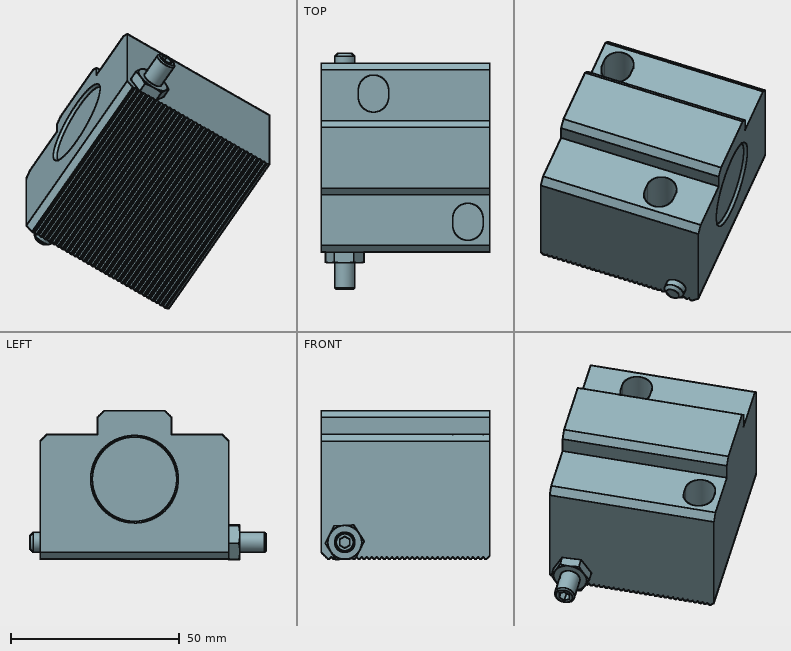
import cadquery as cq
import math

length = 50.0
width = 56.0
height = 44.0
key_width = 22.0
key_height = 7.0
edge_chamfer = 2.0
shoulder_z = height - key_height

tooth_pitch = 1.5
tooth_depth = 0.65
groove_half_width = 0.55
first_groove_x = 3.0
right_chamfer = 1.0

recess_diameter = 26.0
recess_floor_diameter = 25.0
recess_depth = 1.0
recess_z = 23.7

slot_width = 9.0
slot_length = 11.0
slot_depth = 20.0
slot_y = 19.0
rear_slot_x = 15.5
slot_spacing = 28.0

screw_x = 7.0
screw_z = 5.0
screw_diameter = 6.0
screw_front_reach = 11.0
screw_rear_reach = 3.0
screw_length = width + screw_front_reach + screw_rear_reach
head_chamfer = 0.5
point_chamfer = 1.0
socket_flats = 3.0
socket_depth = 3.0
nut_flats = 10.0
nut_thickness = 3.2
nut_turn = 3.13
nut_chamfer_angle = 20.0


def corner_diameter(flats):
    """Diameter over the corners of a hexagon with the given width over its flats."""
    return flats / math.cos(math.radians(30))


def front_plane(y):
    """Plane across the screw axis at the given Y, facing -Y, with local x along X."""
    return cq.Workplane("XZ", origin=(screw_x, y, screw_z))


def make_body():
    half_width = width / 2
    half_key = key_width / 2
    c = edge_chamfer
    right_half = [
        (half_width, 0),
        (half_width, shoulder_z - c),
        (half_width - c, shoulder_z),
        (half_key, shoulder_z),
        (half_key, height - c),
        (half_key - c, height),
    ]
    left_half = [(-y, z) for y, z in reversed(right_half)]
    body = cq.Workplane("YZ").polyline(right_half + left_half).close().extrude(length)
    body = body.faces("<X").edges("<Z").chamfer(edge_chamfer)
    return body.faces(">X").edges("<Z").chamfer(right_chamfer)


def make_grooves():
    """V-shaped grooves that leave the teeth of the underside between them."""
    grooves = cq.Workplane("XZ", origin=(0, width / 2, 0))
    last_groove_x = length - right_chamfer - groove_half_width
    count = int((last_groove_x - first_groove_x) / tooth_pitch) + 1
    for i in range(count):
        x = first_groove_x + i * tooth_pitch
        outline = [(x - groove_half_width, 0), (x, tooth_depth), (x + groove_half_width, 0)]
        grooves = grooves.polyline(outline).close()
    return grooves.extrude(width)


def make_recess():
    return (
        cq.Workplane("YZ", origin=(0, 0, recess_z))
        .circle(recess_diameter / 2)
        .workplane(offset=recess_depth)
        .circle(recess_floor_diameter / 2)
        .loft()
    )


def make_slots():
    centres = [(rear_slot_x, slot_y), (rear_slot_x + slot_spacing, -slot_y)]
    return (
        cq.Workplane("XY", origin=(0, 0, shoulder_z))
        .pushPoints(centres)
        .slot2D(slot_length, slot_width, 90)
        .extrude(-slot_depth)
    )


def make_screw():
    front_y = -width / 2 - screw_front_reach
    screw = front_plane(front_y).circle(screw_diameter / 2).extrude(-screw_length)
    screw = screw.faces("<Y").chamfer(head_chamfer)
    return screw.faces(">Y").chamfer(point_chamfer)


def make_socket():
    """Hexagonal socket in the -Y end of the screw, with corners at top and bottom."""
    front_y = -width / 2 - screw_front_reach
    return (
        front_plane(front_y)
        .transformed(rotate=(0, 0, 90))
        .polygon(6, corner_diameter(socket_flats))
        .extrude(-socket_depth)
    )


def make_nut():
    """Hexagonal nut whose outer corners are cut by a cone touching the flats."""
    corner_radius = corner_diameter(nut_flats) / 2
    flat_radius = nut_flats / 2
    cone_drop = (corner_radius - flat_radius) * math.tan(math.radians(nut_chamfer_angle))
    hexagon = (
        front_plane(-width / 2)
        .transformed(rotate=(0, 0, nut_turn))
        .polygon(6, 2 * corner_radius)
        .extrude(nut_thickness)
    )
    envelope = (
        cq.Workplane("XY", origin=(screw_x, -width / 2, screw_z))
        .polyline([
            (0, 0),
            (corner_radius, 0),
            (corner_radius, cone_drop - nut_thickness),
            (flat_radius, -nut_thickness),
            (0, -nut_thickness),
        ])
        .close()
        .revolve(360, (0, 0, 0), (0, 1, 0))
    )
    return hexagon.intersect(envelope)


body = make_body().cut(make_grooves()).cut(make_recess()).cut(make_slots())
result = body.union(make_nut()).union(make_screw()).cut(make_socket())